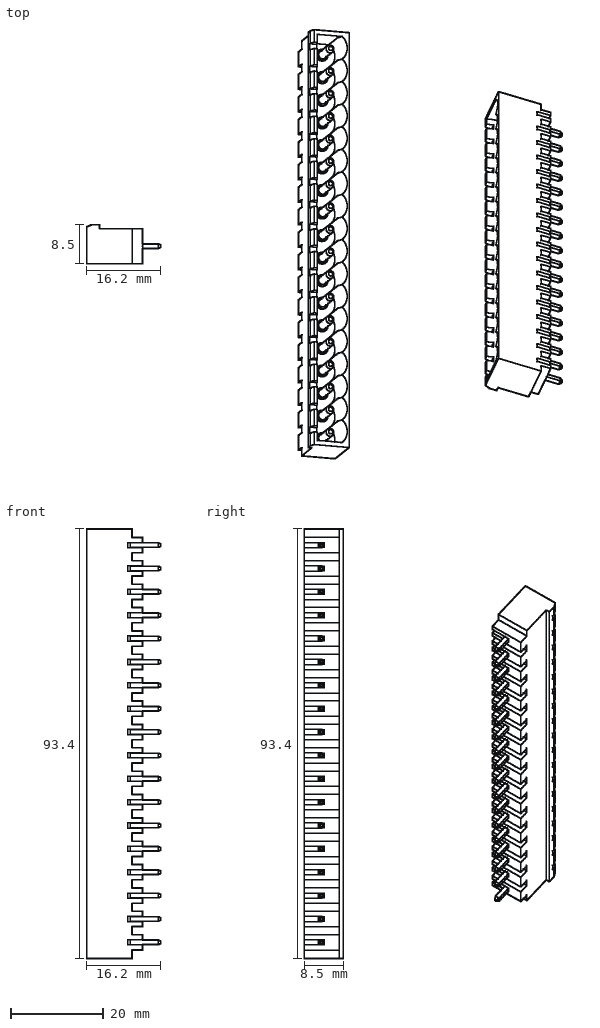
import cadquery as cq
import math

length = 93.4
poles = 18
end_margin = 3.55
pitch = (length - 2 * end_margin) / (poles - 1)
body_depth = 9.9
body_width = 7.7
pin_y = 3.8

rib_depth = 2.8
rib_top = 8.5
rib_nose = 8.0
rib_lead = 1.1
notch_width = 1.4
notch_depth = 1.5

cavity_depth = 7.5
mouth_depth = notch_depth
mouth_radius = 3.4
throat_radius = 3.0
mouth_wall_y = 7.3
throat_wall_y = 6.9

foot_end = 12.15
foot_height = 3.4
slot_width = 1.1
slot_start = 9.0
slot_depth = 3.0
tail_slot_start = 9.5

contact_start = 1.3
contact_diameter = 1.8
contact_tip_diameter = 0.9
contact_tip_length = 0.5
collar_diameter = 2.5
collar_height = 0.5
tail_size = 1.0
tail_end = 16.2
tail_tip_size = 0.5
tail_tip_length = 0.6

pole_heights = [end_margin + index * pitch for index in range(poles)]


def box(x_range, y_range, z_range):
    """Box between two limits on each axis."""
    (x0, x1), (y0, y1), (z0, z1) = x_range, y_range, z_range
    return cq.Workplane("XY").box(x1 - x0, y1 - y0, z1 - z0, centered=False).translate((x0, y0, z0))


def centred(middle, size):
    """Limits of a span of the given size around a middle."""
    return (middle - size / 2, middle + size / 2)


def make_housing():
    """Block with the keying rib, extruded over the full length."""
    return (
        cq.Workplane("XY")
        .moveTo(0, 0)
        .lineTo(body_depth, 0)
        .lineTo(body_depth, body_width)
        .lineTo(rib_depth, body_width)
        .lineTo(rib_depth, rib_top)
        .lineTo(rib_lead, rib_top)
        .lineTo(0, rib_nose)
        .close()
        .extrude(length)
    )


def cavity_outline(workplane, radius, wall_y):
    """Cavity section: three straight sides and one arc per contact on the -Y side."""
    cusp_y = pin_y - math.sqrt(radius**2 - (pitch / 2) ** 2)
    bottom = pole_heights[0] - pitch / 2
    top = pole_heights[-1] + pitch / 2
    outline = workplane.moveTo(wall_y, top).lineTo(wall_y, bottom).lineTo(cusp_y, bottom)
    for height in pole_heights:
        outline = outline.threePointArc((pin_y - radius, height), (cusp_y, height + pitch / 2))
    return outline.close()


def make_cavity():
    """Tapered mouth followed by a straight throat."""
    mouth = cavity_outline(cq.Workplane("YZ"), mouth_radius, mouth_wall_y)
    mouth = cavity_outline(mouth.workplane(offset=mouth_depth), throat_radius, throat_wall_y)
    mouth = mouth.loft(ruled=True, combine=True)
    throat = cavity_outline(cq.Workplane("YZ", origin=(mouth_depth, 0, 0)), throat_radius, throat_wall_y)
    return mouth.union(throat.extrude(cavity_depth - mouth_depth))


def make_notch(height):
    """Cut through the +Y wall and rib beside one contact."""
    return box((0, notch_depth), (throat_wall_y, rib_top), centred(height, notch_width))


def make_foot(height):
    """Foot across the back of the housing."""
    return box((body_depth, foot_end), (0, body_width), centred(height, foot_height))


def make_slot(height):
    """Stepped slot, deeper where the tail runs."""
    span = centred(height, slot_width)
    entry = box((slot_start, foot_end), (0, slot_depth), span)
    tail_room = box((tail_slot_start, foot_end), (0, pin_y), span)
    return entry.union(tail_room)


def make_contact(height):
    """Round contact with a conical tip and a base collar, and a square tail with a pyramid tip."""
    pin_radius = contact_diameter / 2
    collar_radius = collar_diameter / 2
    tip_radius = contact_tip_diameter / 2
    shoulder = contact_start + contact_tip_length
    pin = (
        cq.Workplane("XY")
        .moveTo(contact_start, 0)
        .lineTo(contact_start, tip_radius)
        .lineTo(shoulder, pin_radius)
        .lineTo(cavity_depth - collar_height, pin_radius)
        .lineTo(cavity_depth - collar_height, collar_radius)
        .lineTo(cavity_depth, collar_radius)
        .lineTo(cavity_depth, 0)
        .close()
        .revolve(360, (0, 0, 0), (1, 0, 0))
    )
    tip_start = tail_end - tail_tip_length
    tail = cq.Workplane("YZ", origin=(cavity_depth, 0, 0)).rect(tail_size, tail_size)
    tail = tail.extrude(tip_start - cavity_depth)
    tip = (
        cq.Workplane("YZ", origin=(tip_start, 0, 0))
        .rect(tail_size, tail_size)
        .workplane(offset=tail_tip_length)
        .rect(tail_tip_size, tail_tip_size)
        .loft(ruled=True)
    )
    return pin.union(tail).union(tip).translate((0, pin_y, height))


def at_each_pole(make_feature):
    """One compound holding the feature at every pole."""
    return cq.Workplane(cq.Compound.makeCompound([make_feature(height).val() for height in pole_heights]))


result = (
    make_housing()
    .union(at_each_pole(make_foot))
    .cut(make_cavity())
    .cut(at_each_pole(make_notch))
    .cut(at_each_pole(make_slot))
    .union(at_each_pole(make_contact))
    .solids()
)